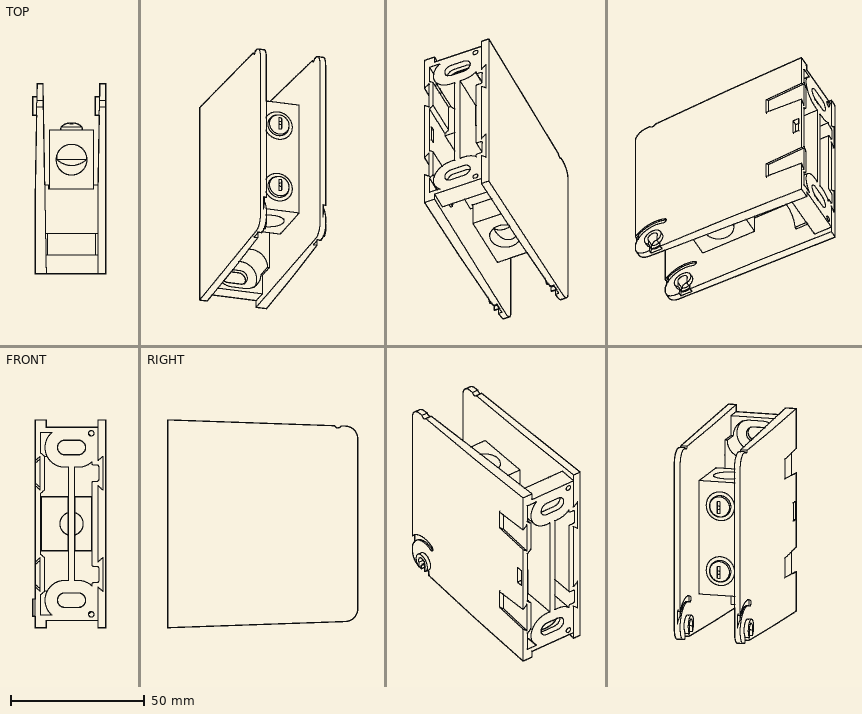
import cadquery as cq
import math

FRONT = -35.7
BACK = -FRONT
HALF_HEIGHT = 39.05
EDGE_DRAFT = math.tan(math.radians(2))
FACE_DRAFT = math.tan(math.radians(1))
DRAFT_START = -4.2
CORNER_RADIUS = 4.85

MODULE_PITCH = 23.5
SIDE_FACE = -12.77
SEAT_FACE = SIDE_FACE + MODULE_PITCH
END_FACE = 13.79
WALL_INNER = -8.6
CENTER_X = 0.85

PIN_Y = 27.3
PIN_Z = -31.7
PIN_TIP = 1.0
PIN_DIAMETER = 7.1
PIN_HOLE = 4.1
PIN_HOLE_DEPTH = 1.9
PIN_SLOT = 3.7
PIN_SLOT_DEPTH = 0.9
EXIT_DEPTH = 1.4
EXIT_INNER_WIDTH = 4.2
EXIT_OUTER_WIDTH = 4.8
GROOVE_INNER = 8.6
GROOVE_OUTER = 10.8
GROOVE_DEPTH = 0.6
GROOVE_END = 66.0
LEAD_LENGTH = 1.1
NOTCH_Y = 28.2
NOTCH_RADIUS = 1.3
NOTCH_DEPTH = 0.8
CATCH_HALF_HEIGHT = 3.5

DOVETAIL_Z = 19.02
DOVETAIL_DEPTH = 1.9
DOVETAIL_FLARE = 1.65
DOVETAIL_FRONT_HALF = 4.7
DOVETAIL_BACK_HALF = 3.71

BASE_LEFT = WALL_INNER - 0.8
DECK_TOP = -20.6
DECK_THICKNESS = 1.1
FOOT_TOP = -28.5
COUNTERBORE_FLOOR = -33.35
FOOT_HALF_HEIGHT = 36.3
SLOT_Z = 28.7
SLOT_WIDTH = 5.4
SLOT_SPAN = 5.1
COUNTERBORE_RADIUS = 6.4
BOSS_RADIUS = 7.4
CAVITY_LEFT = -10.7
CAVITY_RIGHT = 8.5
CAVITY_HALF_HEIGHT = 34.3
RIB_LEFT = -0.3
RIB_RIGHT = 1.95
THICKENING_INNER_HALF = 6.25
THICKENING_OUTER_HALF = 7.6
THICKENING_DEPTH = 1.5
BLIND_HOLE = 2.0
BLIND_HOLE_DEPTH = 3.1
BLIND_HOLE_X = 8.3
BLIND_HOLE_Z = 34.0
CORE_TOP = -2.3
CORE_HALF_HEIGHT = 11.7
RECESS_HALF_HEIGHT = 10.2
RECESS_TOP = -7.4
LUG_POCKET_LEFT = -7.7

LUG_WIDTH = 16.55
LUG_BOTTOM = -3.75
LUG_TOP = 18.35
LUG_HALF_HEIGHT = 21.9
WIRE_Y = 7.2
WIRE_DIAMETER = 11.55
BORE_DIAMETER = 11.1
DRILL_HALF_ANGLE = math.radians(59)
WIRE_SCREW_Z = 12.5
SCREW_HEAD = 8.2
MOUNT_HEAD = 8.75
MOUNT_HEAD_HEIGHT = 2.35
MOUNT_SHANK = 5.4
MOUNT_TIP = 1.6


def box(x0, x1, y0, y1, z0, z1):
    return cq.Workplane("XY").box(x1 - x0, y1 - y0, z1 - z0, centered=False).translate((x0, y0, z0))


def rod(diameter, y0, y1, x=CENTER_X, z=0.0):
    """Cylinder along Y."""
    return cq.Workplane("XZ", origin=(x, y0, z)).circle(diameter / 2).extrude(y0 - y1)


def side_rod(diameter, x0, x1):
    """Cylinder along X on the stacking pin's axis."""
    return cq.Workplane("YZ", origin=(x0, PIN_Y, PIN_Z)).circle(diameter / 2).extrude(x1 - x0)


def stadium(radius, y0, y1, z):
    """Slot shape along X, extruded in Y."""
    plane = cq.Workplane("XZ", origin=(CENTER_X, y0, z))
    return plane.slot2D(SLOT_SPAN + 2 * radius, 2 * radius).extrude(y0 - y1)


def prism_z(points, half_height):
    """XY outline extruded symmetrically about Z = 0."""
    return cq.Workplane("XY").polyline(points).close().extrude(half_height, both=True)


def edge_height(y):
    return HALF_HEIGHT - EDGE_DRAFT * (y - FRONT)


def drafted_face(x):
    """X at the free edge of a face that is drafted from DRAFT_START."""
    return x + FACE_DRAFT * (BACK - DRAFT_START)


def plate_outline():
    """Tapered plate silhouette with rounded back corners, wide enough to trim any plate."""
    width = END_FACE - SIDE_FACE
    back_height = edge_height(BACK)
    outline = [(FRONT, -HALF_HEIGHT), (BACK, -back_height), (BACK, back_height), (FRONT, HALF_HEIGHT)]
    plane = cq.Workplane("YZ", origin=(SIDE_FACE, 0, 0))
    solid = plane.polyline(outline).close().extrude(width)
    solid = solid.edges("|X and >Y").fillet(CORNER_RADIUS)
    notch_z = edge_height(NOTCH_Y) - NOTCH_DEPTH + NOTCH_RADIUS
    notch = cq.Workplane("YZ", origin=(SIDE_FACE, NOTCH_Y, notch_z)).circle(NOTCH_RADIUS).extrude(width)
    return solid.cut(notch)


def dovetail(face_x, z):
    """Tapered dovetail prism that widens from the mouth at face_x towards +X."""
    def section(y, half):
        wide = half + DOVETAIL_FLARE
        tip = face_x + DOVETAIL_DEPTH
        corners = [(face_x, z - half), (tip, z - wide), (tip, z + wide), (face_x, z + half)]
        return cq.Wire.makePolygon([cq.Vector(x, y, height) for x, height in corners], close=True)

    front = section(FRONT, DOVETAIL_FRONT_HALF)
    back = section(DECK_TOP, DOVETAIL_BACK_HALF)
    return cq.Workplane(obj=cq.Solid.makeLoft([front, back], True))


def catch_opening(face_x):
    """Small rectangular opening with a ramped front side, as deep as the wall beside the cavity."""
    depth = CAVITY_LEFT - SIDE_FACE
    back, ramp_end, front = -32.1, -33.7, -34.5
    points = [(face_x, back), (face_x + depth, back), (face_x + depth, ramp_end), (face_x, front)]
    return prism_z(points, CATCH_HALF_HEIGHT)


def arc_groove(face_x):
    """Curved groove around the pin that runs out at the back edge, with a deeper lead-in."""
    floor = face_x + FACE_DRAFT * (PIN_Y - DRAFT_START) + GROOVE_DEPTH
    middle = (GROOVE_INNER + GROOVE_OUTER) / 2
    end = math.radians(GROOVE_END)
    reach = 2 * GROOVE_OUTER

    ring = cq.Workplane("YZ", origin=(face_x, PIN_Y, PIN_Z))
    ring = ring.circle(GROOVE_OUTER).circle(GROOVE_INNER).extrude(floor - face_x)
    sector = cq.Workplane("YZ", origin=(face_x, PIN_Y, PIN_Z))
    sector = sector.polyline([(0, 0), (-reach * math.cos(end), reach * math.sin(end)),
                              (reach, reach), (reach, 0)]).close().extrude(floor - face_x)
    end_y = PIN_Y - middle * math.cos(end)
    end_z = PIN_Z + middle * math.sin(end)
    cap = cq.Workplane("YZ", origin=(face_x, end_y, end_z))
    cap = cap.circle((GROOVE_OUTER - GROOVE_INNER) / 2).extrude(floor - face_x)
    groove = ring.intersect(sector).union(cap)

    lead_depth = floor + GROOVE_DEPTH
    start = BACK - LEAD_LENGTH
    lead = prism_z([(face_x, start), (floor, start), (lead_depth, BACK), (face_x, BACK)], HALF_HEIGHT)
    band = cq.Workplane("YZ", origin=(face_x, PIN_Y, PIN_Z))
    band = band.circle(GROOVE_OUTER).circle(GROOVE_INNER).extrude(lead_depth - face_x)
    upper = box(face_x, lead_depth, PIN_Y, BACK, PIN_Z, 0)
    return groove.union(lead.intersect(band).intersect(upper))


def pin_exit(tip, floor):
    """Flared recess from the pin to the lower edge of the plate."""
    inner = EXIT_INNER_WIDTH / 2
    outer = EXIT_OUTER_WIDTH / 2
    top = PIN_Z - PIN_HOLE / 2
    bottom = -edge_height(PIN_Y + outer)
    overrun = bottom - 0.8
    points = [(PIN_Y - inner, top), (PIN_Y - outer, overrun), (PIN_Y + outer, overrun), (PIN_Y + inner, top)]
    return cq.Workplane("YZ", origin=(tip, 0, 0)).polyline(points).close().extrude(floor - tip)


def add_stacking_features(plate, face_x):
    """Pin, groove, catch opening and dovetail pockets on the -X face of a plate."""
    surface = face_x + FACE_DRAFT * (PIN_Y - DRAFT_START)
    tip = face_x - PIN_TIP
    half_slot = PIN_SLOT / 2
    pin = side_rod(PIN_DIAMETER, tip, surface + EXIT_DEPTH)
    slot = box(tip, surface + PIN_SLOT_DEPTH, PIN_Y - half_slot, PIN_Y + half_slot, -HALF_HEIGHT, PIN_Z)
    slot = slot.intersect(pin)
    hole = side_rod(PIN_HOLE, tip, surface + PIN_HOLE_DEPTH)
    plate = plate.cut(arc_groove(face_x)).cut(pin_exit(tip, surface + EXIT_DEPTH))
    plate = plate.union(pin).cut(slot).cut(hole)
    plate = plate.cut(catch_opening(face_x))
    for z in (-DOVETAIL_Z, DOVETAIL_Z):
        plate = plate.cut(dovetail(face_x, z))
    return plate


def make_end_plate():
    outline = [(SEAT_FACE, FRONT), (END_FACE, FRONT), (END_FACE, BACK),
               (drafted_face(SEAT_FACE), BACK), (SEAT_FACE, DRAFT_START)]
    plate = prism_z(outline, HALF_HEIGHT).intersect(plate_outline())
    return add_stacking_features(plate, SEAT_FACE)


def side_wall():
    inner_back = WALL_INNER - FACE_DRAFT * (BACK - FRONT)
    outline = [(SIDE_FACE, FRONT), (WALL_INNER, FRONT), (inner_back, BACK),
               (drafted_face(SIDE_FACE), BACK), (SIDE_FACE, DRAFT_START)]
    return prism_z(outline, HALF_HEIGHT).intersect(plate_outline())


def cavity():
    """Hollow open at the mounting face, around the bosses and the centre rib."""
    ceiling = DECK_TOP - DECK_THICKNESS
    foot_ceiling = FOOT_TOP - DECK_THICKNESS
    step = DOVETAIL_Z + THICKENING_INNER_HALF
    hollow = box(CAVITY_LEFT, CAVITY_RIGHT, FRONT, ceiling, -step, step)
    hollow = hollow.union(box(CAVITY_LEFT, CENTER_X, FRONT, foot_ceiling,
                              -CAVITY_HALF_HEIGHT, CAVITY_HALF_HEIGHT))
    for side in (-1, 1):
        hollow = hollow.union(tongue_hollow(side * DOVETAIL_Z, ceiling))
        hollow = hollow.cut(wall_thickening(side * DOVETAIL_Z, ceiling))
        hollow = hollow.cut(stadium(BOSS_RADIUS, FRONT, ceiling, side * SLOT_Z))
    rib = box(RIB_LEFT, RIB_RIGHT, FRONT, ceiling, -CAVITY_HALF_HEIGHT, CAVITY_HALF_HEIGHT)
    hollow = hollow.cut(rib)
    for left, right in ((CAVITY_LEFT, RIB_LEFT), (RIB_RIGHT, CAVITY_RIGHT)):
        hollow = hollow.union(core_recess(left, right, ceiling))
    return hollow


def core_recess(left, right, ceiling):
    """Drafted recess in the core, on one side of the rib."""
    plane = cq.Workplane("XZ", origin=((left + right) / 2, ceiling, 0))
    return plane.rect(right - left, 2 * RECESS_HALF_HEIGHT).extrude(ceiling - RECESS_TOP, taper=1)


def tongue_hollow(z, ceiling):
    """Extension of the cavity into a dovetail tongue, with rounded corners."""
    radius = 0.6
    half = 3.05
    tip = 11.1
    bend = radius * (1 - math.sqrt(0.5))
    start = CAVITY_RIGHT - 0.8
    return (cq.Workplane("XZ", origin=(0, FRONT, z))
            .moveTo(start, -half - radius).lineTo(CAVITY_RIGHT, -half - radius)
            .threePointArc((CAVITY_RIGHT + bend, -half - bend), (CAVITY_RIGHT + radius, -half))
            .lineTo(tip - radius, -half)
            .threePointArc((tip - bend, -half + bend), (tip, -half + radius))
            .lineTo(tip, half - radius)
            .threePointArc((tip - bend, half - bend), (tip - radius, half))
            .lineTo(CAVITY_RIGHT + radius, half)
            .threePointArc((CAVITY_RIGHT + bend, half + bend), (CAVITY_RIGHT, half + radius))
            .lineTo(start, half + radius).close().extrude(FRONT - ceiling))


def wall_thickening(z, ceiling):
    """Thicker wall behind a dovetail pocket."""
    inner = CAVITY_LEFT + THICKENING_DEPTH
    points = [(CAVITY_LEFT, z - THICKENING_OUTER_HALF), (inner, z - THICKENING_INNER_HALF),
              (inner, z + THICKENING_INNER_HALF), (CAVITY_LEFT, z + THICKENING_OUTER_HALF)]
    return cq.Workplane("XZ", origin=(0, FRONT, 0)).polyline(points).close().extrude(FRONT - ceiling)


def foot_cuts(side):
    """Open step, counterbore, mounting slot and blind hole of one foot."""
    z = side * SLOT_Z
    far = side * HALF_HEIGHT
    cuts = box(BASE_LEFT, SEAT_FACE, FOOT_TOP, DECK_TOP, min(z, far), max(z, far))
    cuts = cuts.union(stadium(COUNTERBORE_RADIUS, COUNTERBORE_FLOOR, DECK_TOP, z))
    cuts = cuts.union(stadium(SLOT_WIDTH / 2, FRONT, COUNTERBORE_FLOOR, z))
    return cuts.union(rod(BLIND_HOLE, FRONT, FRONT + BLIND_HOLE_DEPTH, BLIND_HOLE_X, side * BLIND_HOLE_Z))


def make_housing():
    base = box(BASE_LEFT, SEAT_FACE, FRONT, DECK_TOP, -FOOT_HALF_HEIGHT, FOOT_HALF_HEIGHT)
    for side in (-1, 1):
        base = base.cut(foot_cuts(side))
        base = base.union(dovetail(SEAT_FACE, side * DOVETAIL_Z))
    core = box(BASE_LEFT, SEAT_FACE, DECK_TOP, CORE_TOP, -CORE_HALF_HEIGHT, CORE_HALF_HEIGHT)
    core = core.cut(box(LUG_POCKET_LEFT, CENTER_X + LUG_WIDTH / 2, LUG_BOTTOM, CORE_TOP,
                        -CORE_HALF_HEIGHT, CORE_HALF_HEIGHT))
    wall = side_wall()
    housing = wall.union(base).union(core).cut(cavity())
    housing = housing.cut(rod(MOUNT_HEAD, RECESS_TOP, RECESS_TOP + MOUNT_HEAD_HEIGHT))
    housing = housing.cut(rod(MOUNT_SHANK, RECESS_TOP, LUG_BOTTOM))
    return add_stacking_features(housing, SIDE_FACE)


def wire_hole(side):
    """Blind drilled hole with a conical end, entering from the +Z or -Z face."""
    radius = WIRE_DIAMETER / 2
    shoulder = WIRE_SCREW_Z - BORE_DIAMETER / 2
    cone_end = shoulder - radius / math.tan(DRILL_HALF_ANGLE)
    profile = [(0, cone_end), (radius, shoulder), (radius, LUG_HALF_HEIGHT), (0, LUG_HALF_HEIGHT)]
    hole = cq.Workplane("XZ").polyline(profile).close().revolve(360, (0, 0, 0), (0, 1, 0))
    if side < 0:
        hole = hole.mirror("XY")
    return hole.translate((CENTER_X, WIRE_Y, 0))


def make_lug():
    half = LUG_WIDTH / 2
    lug = box(CENTER_X - half, CENTER_X + half, LUG_BOTTOM, LUG_TOP, -LUG_HALF_HEIGHT, LUG_HALF_HEIGHT)
    for side in (-1, 1):
        z = side * WIRE_SCREW_Z
        lug = lug.cut(wire_hole(side))
        lug = lug.cut(rod(BORE_DIAMETER, WIRE_Y, LUG_TOP, z=z))
    return lug.cut(rod(MOUNT_SHANK, LUG_BOTTOM, MOUNT_TIP))


def make_wire_screw(side):
    """Clamping screw with a domed tip in the wire hole and a slotted domed head."""
    shank = BORE_DIAMETER / 2
    head = SCREW_HEAD / 2
    tip = WIRE_Y - 2.3
    head_top = 21.0
    slot_half_width = 0.55
    slot_depth = 0.4
    profile = (cq.Workplane("XY").moveTo(0, tip)
               .threePointArc((shank * 0.52, WIRE_Y - 1.65), (shank, WIRE_Y))
               .lineTo(shank, LUG_TOP).lineTo(head, LUG_TOP).lineTo(head, 18.9).lineTo(3.9, 19.5)
               .threePointArc((2.1, 20.7), (0, head_top)).close())
    screw = profile.revolve(360, (0, 0, 0), (0, 1, 0))
    screw = screw.cut(box(-slot_half_width, slot_half_width, head_top - slot_depth, head_top, -head, head))
    return screw.translate((CENTER_X, 0, side * WIRE_SCREW_Z))


def make_mounting_screw():
    head = rod(MOUNT_HEAD, RECESS_TOP, RECESS_TOP + MOUNT_HEAD_HEIGHT)
    return head.union(rod(MOUNT_SHANK, RECESS_TOP, MOUNT_TIP))


housing = make_housing()
end_plate = make_end_plate()
lug = make_lug()
wire_screws = [make_wire_screw(side) for side in (-1, 1)]
mounting_screw = make_mounting_screw()

result = cq.Compound.makeCompound([
    housing.val(),
    end_plate.val(),
    lug.val(),
    *[screw.val() for screw in wire_screws],
    mounting_screw.val(),
])